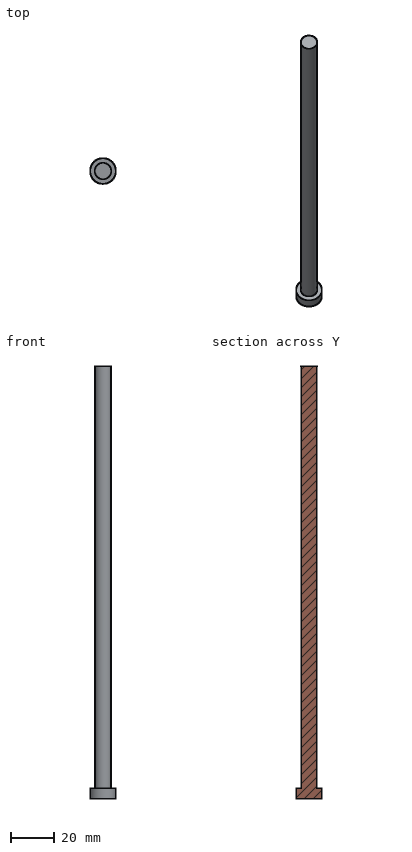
import cadquery as cq

total_length = 200.0
head_diameter = 12.0
head_height = 5.0
shank_diameter = 7.5

head = cq.Workplane("XY").circle(head_diameter / 2).extrude(head_height)
shank = cq.Workplane("XY").circle(shank_diameter / 2).extrude(total_length)

result = head.union(shank)